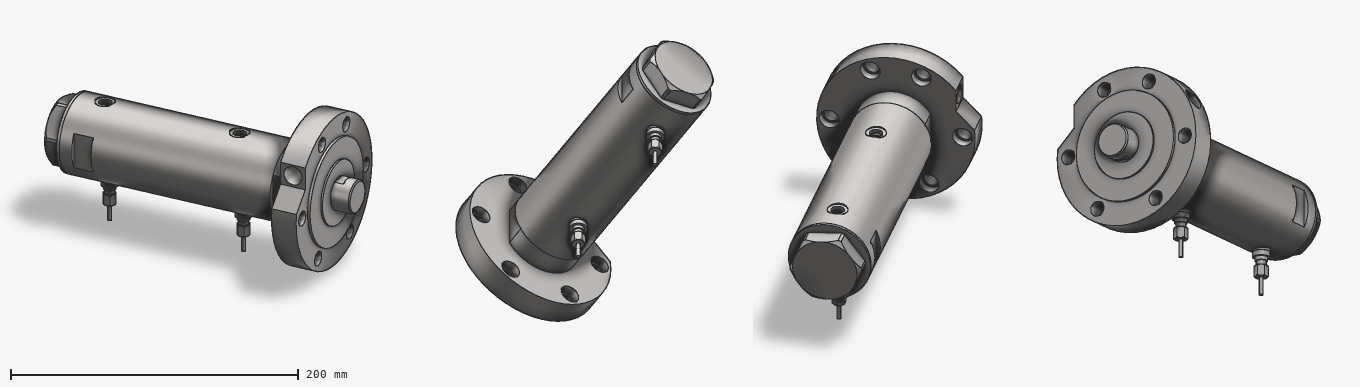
import cadquery as cq
import math


HEX_END = 12.8
BARREL_START = 15.0
NOSE_END = 38.3
PISTON_END = 65.4
HEAD_START = 142.5
NECK_START = 180.2
FLANGE_START = 195.5
FLANGE_END = 215.0
RAISED_FACE_END = 217.0
HEAD_END = 218.5
ROD_END = 233.5

BARREL_RADIUS = 59.0 / 2
BORE_RADIUS = 20.0
SLOT_START = 24.7
SLOT_END = 40.0
SLOT_FLAT = 26.4

PORT_STATIONS = [35.5, 141.0]
PORT_RADIUS = 4.7
PORT_SEAT_RADIUS = 7.2
PORT_SEAT_Z = 28.5
SENSOR_STATIONS = [39.0, 144.0]
SENSOR_SEAT_Z = -28.5

COLLAR_RADIUS = BARREL_RADIUS
HEX_FLAT = 46.0 / 2
HEX_CORNER_RADIUS = 26.0
HEX_CHAMFER = 2.8
HEX_TURN = 7.4

FLANGE_RADIUS = 57.0
RAISED_FACE_RADIUS = 40.0
NOTCH_Y = -43.2
NOTCH_CORNER_Z = 20.3
CROSS_HOLE_Z = 29.0
CROSS_HOLE_RADIUS = 7.0
BOLT_CIRCLE_RADIUS = 47.9
BOLT_ANGLES = [0, 67.5, 112.5, 180, 240, 300]
BOLT_HOLE_RADIUS = 5.4
COUNTERBORE_RADIUS = 7.0
COUNTERBORE_DEPTH = 6.8

NECK_FLAT = 25.0
HEAD_RADIUS = 24.0
SPIGOT_RADIUS = 25.7
ROD_RADIUS = 24.5 / 2
ROD_CHAMFER = 1.0
ROD_FLAT = 10.7
ROD_FLAT_END = 225.3

WASHER_RADIUS = 6.3
WASHER_Z = -30.8
PLUG_RADIUS = 6.0
PLUG_Z = -34.5
STEP_RADIUS = 4.5
STEP_Z = -37.3
STEM_RADIUS = 3.5
STEM_Z = -40.5
NUT_FLAT = 4.5
NUT_CHAMFER = 1.0
NUT_Z = -49.3
CABLE_RADIUS = 1.5
OVERALL_HEIGHT = 118.8
CABLE_Z = FLANGE_RADIUS - OVERALL_HEIGHT


def axial_cylinder(radius, start, end):
    """Cylinder on the X axis between two stations."""
    return cq.Workplane("YZ", origin=(start, 0, 0)).circle(radius).extrude(end - start)


def upright_cylinder(radius, x, bottom, top):
    """Vertical cylinder at station x."""
    return cq.Workplane("XY", origin=(x, 0, bottom)).circle(radius).extrude(top - bottom)


def box_between(x_range, y_range, z_range):
    """Box given by its limits along each axis."""
    sizes = [high - low for low, high in (x_range, y_range, z_range)]
    return cq.Workplane("XY").box(*sizes, centered=False).translate((x_range[0], y_range[0], z_range[0]))


def slab(start, end, half_width):
    """Block between two stations, bounded by flats at +-half_width in Y and wide open in Z."""
    reach = (-BARREL_RADIUS, BARREL_RADIUS)
    return box_between((start, end), (-half_width, half_width), reach)


def make_barrel():
    """Tube with two wrench slots, two seated oil ports and a seat for each sensor."""
    body = axial_cylinder(BARREL_RADIUS, BARREL_START, NECK_START)
    slot_ring = axial_cylinder(BARREL_RADIUS, SLOT_START, SLOT_END)
    body = body.cut(slot_ring.cut(slab(SLOT_START, SLOT_END, SLOT_FLAT)))

    body = body.cut(axial_cylinder(BORE_RADIUS, BARREL_START, HEAD_START))
    body = body.cut(axial_cylinder(SPIGOT_RADIUS, HEAD_START, NECK_START))

    for port_x in PORT_STATIONS:
        body = body.cut(upright_cylinder(PORT_RADIUS, port_x, 0, BARREL_RADIUS))
        body = body.cut(upright_cylinder(PORT_SEAT_RADIUS, port_x, PORT_SEAT_Z, BARREL_RADIUS))
    for sensor_x in SENSOR_STATIONS:
        body = body.cut(upright_cylinder(WASHER_RADIUS, sensor_x, -BARREL_RADIUS, SENSOR_SEAT_Z))
    return body


def hexagon_prism(workplane, flat, length):
    """Regular hexagonal prism with its flats at the given distance from its axis."""
    return workplane.polygon(6, 2 * flat / math.cos(math.pi / 6)).extrude(length)


def make_cap():
    """Hexagon with turned corners, a collar against the barrel and a nose that fills the bore."""
    hexagon = hexagon_prism(cq.Workplane("YZ"), HEX_FLAT, HEX_END)
    turned_blank = axial_cylinder(HEX_CORNER_RADIUS, 0, HEX_END)
    turned_blank = turned_blank.faces("<X").chamfer(HEX_CHAMFER)
    cap = hexagon.intersect(turned_blank)
    cap = cap.union(axial_cylinder(COLLAR_RADIUS, HEX_END, BARREL_START))
    cap = cap.union(axial_cylinder(BORE_RADIUS, BARREL_START, NOSE_END))
    return cap.rotate((0, 0, 0), (1, 0, 0), -HEX_TURN)


def make_flange():
    """Notched disc with a raised face, counterbored bolt holes and a hole across it."""
    flange = axial_cylinder(FLANGE_RADIUS, FLANGE_START, FLANGE_END)
    flange = flange.union(axial_cylinder(RAISED_FACE_RADIUS, FLANGE_END, RAISED_FACE_END))
    flange = flange.cut(axial_cylinder(HEAD_RADIUS, FLANGE_START, RAISED_FACE_END))

    slope_run = NOTCH_Y + FLANGE_RADIUS
    notch = (
        cq.Workplane("YZ", origin=(FLANGE_START, 0, 0))
        .moveTo(NOTCH_Y, FLANGE_RADIUS)
        .lineTo(NOTCH_Y, NOTCH_CORNER_Z)
        .lineTo(-FLANGE_RADIUS, NOTCH_CORNER_Z - slope_run)
        .lineTo(-FLANGE_RADIUS, FLANGE_RADIUS)
        .close()
        .extrude(FLANGE_END - FLANGE_START)
    )
    flange = flange.cut(notch)

    middle = (FLANGE_START + FLANGE_END) / 2
    cross_hole = (
        cq.Workplane("XZ", origin=(middle, 0, CROSS_HOLE_Z))
        .circle(CROSS_HOLE_RADIUS)
        .extrude(FLANGE_RADIUS, both=True)
    )
    flange = flange.cut(cross_hole)

    for angle in BOLT_ANGLES:
        y = BOLT_CIRCLE_RADIUS * math.cos(math.radians(angle))
        z = BOLT_CIRCLE_RADIUS * math.sin(math.radians(angle))
        bolt_hole = axial_cylinder(BOLT_HOLE_RADIUS, FLANGE_START, FLANGE_END)
        counterbore = axial_cylinder(COUNTERBORE_RADIUS, FLANGE_START, FLANGE_START + COUNTERBORE_DEPTH)
        flange = flange.cut(bolt_hole.union(counterbore).translate((0, y, z)))
    return flange


def make_head():
    """Rod guide: spigot in the barrel, flatted neck and a sleeve through the flange."""
    head = axial_cylinder(HEAD_RADIUS, NECK_START, HEAD_END)
    head = head.union(axial_cylinder(SPIGOT_RADIUS, HEAD_START, NECK_START))
    neck = axial_cylinder(BARREL_RADIUS, NECK_START, FLANGE_START)
    head = head.union(neck.intersect(slab(NECK_START, FLANGE_START, NECK_FLAT)))
    return head.cut(axial_cylinder(ROD_RADIUS, HEAD_START, HEAD_END))


def make_rod():
    """Piston and rod in one piece, with two flats near the rod end."""
    rod = axial_cylinder(ROD_RADIUS, NOSE_END, ROD_END).faces(">X").chamfer(ROD_CHAMFER)
    rod = rod.union(axial_cylinder(BORE_RADIUS, NOSE_END, PISTON_END))
    for low, high in ((ROD_FLAT, ROD_RADIUS), (-ROD_RADIUS, -ROD_FLAT)):
        rod = rod.cut(box_between((HEAD_END, ROD_FLAT_END), (-ROD_RADIUS, ROD_RADIUS), (low, high)))
    return rod


def make_sensor(x):
    """Stepped plug with a hexagon nut and a cable, hanging under the barrel at station x."""
    sensor = upright_cylinder(WASHER_RADIUS, x, WASHER_Z, SENSOR_SEAT_Z)
    sensor = sensor.union(upright_cylinder(PLUG_RADIUS, x, PLUG_Z, WASHER_Z))
    sensor = sensor.union(upright_cylinder(STEP_RADIUS, x, STEP_Z, PLUG_Z))
    sensor = sensor.union(upright_cylinder(STEM_RADIUS, x, STEM_Z, STEP_Z))

    nut = hexagon_prism(cq.Workplane("XY", origin=(x, 0, NUT_Z)), NUT_FLAT, STEM_Z - NUT_Z)
    nut_corner_radius = NUT_FLAT / math.cos(math.pi / 6)
    nut_blank = upright_cylinder(nut_corner_radius, x, NUT_Z, STEM_Z).edges().chamfer(NUT_CHAMFER)
    sensor = sensor.union(nut.intersect(nut_blank))
    return sensor.union(upright_cylinder(CABLE_RADIUS, x, CABLE_Z, NUT_Z))


barrel = make_barrel()
cap = make_cap()
flange = make_flange()
head = make_head()
rod = make_rod()
sensors = [make_sensor(x) for x in SENSOR_STATIONS]

result = cq.Compound.makeCompound(
    [barrel.val(), cap.val(), flange.val(), head.val(), rod.val()]
    + [sensor.val() for sensor in sensors]
)